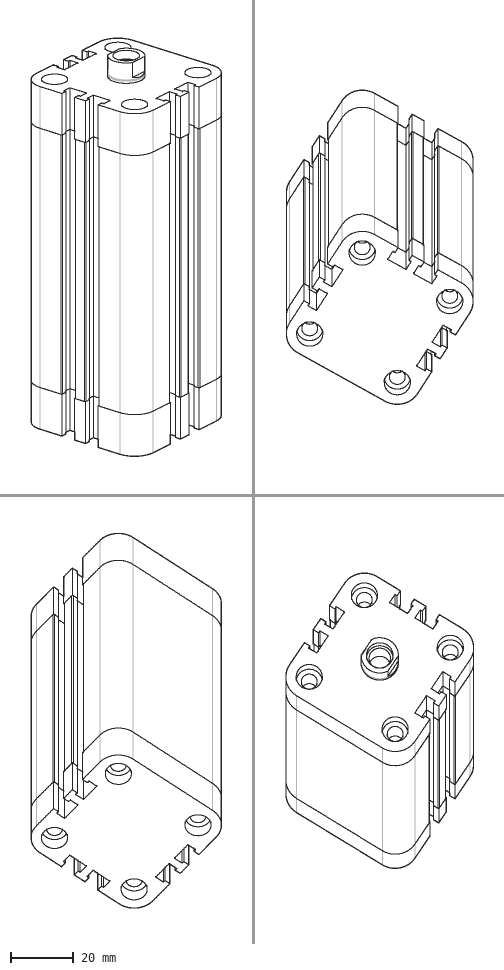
import cadquery as cq
import math

TOTAL_HEIGHT = 126.0
WIDTH = 47.5
CORNER_RADIUS = 7.5
CAP_HEIGHT = 14.5
ROD_PROJECTION = 7.0

HALF_WIDTH = WIDTH / 2
HOUSING_HEIGHT = TOTAL_HEIGHT - ROD_PROJECTION
BARREL_HEIGHT = HOUSING_HEIGHT - 2 * CAP_HEIGHT
TOP_CAP_BASE = CAP_HEIGHT + BARREL_HEIGHT

SLOT_DEPTH = 5.2
LIP_THICKNESS = 2.0
RIB_LIP_WIDTH = 4.4
RIB_WEB_WIDTH = 2.8
MOUTH_SPAN = 14.7
CHAMBER_SPAN = 16.4
MOUTH_CHAMFER = 0.4
SLOTTED_SIDES = (0, 90, -90)

HOLE_OFFSET = 16.3
HOLE_DIAMETER = 5.0
COUNTERBORE_DIAMETER = 8.3
COUNTERBORE_DEPTH = 4.8

ROD_DIAMETER = 12.0
ROD_TIP_DIAMETER = 11.8
ROD_TIP_LENGTH = 5.9
ROD_TAPER_LENGTH = 0.4
FLAT_LENGTH = 5.2
ACROSS_FLATS = 10.1
FLAT_RUNOUT_ANGLE = 30.0
SOCKET_DIAMETER = 6.8
SOCKET_DEPTH = 11.3
SOCKET_COUNTERBORE_DIAMETER = 8.5
SOCKET_COUNTERBORE_DEPTH = 3.0


def slot_outline(side, chamfer):
    """Return one T-slot of the -Y side, opening through that side; side is -1 or 1 along X."""
    chamber_inner = RIB_WEB_WIDTH / 2
    chamber_outer = CHAMBER_SPAN / 2
    mouth_inner = RIB_LIP_WIDTH / 2
    mouth_outer = MOUTH_SPAN / 2
    face_y = -HALF_WIDTH
    chamber_y = face_y + LIP_THICKNESS
    floor_y = face_y + SLOT_DEPTH
    points = [
        (mouth_inner, chamber_y),
        (chamber_inner, chamber_y),
        (chamber_inner, floor_y),
        (chamber_outer, floor_y),
        (chamber_outer, chamber_y),
        (mouth_outer, chamber_y),
    ]
    if chamfer:
        points += [
            (mouth_outer, face_y + chamfer),
            (mouth_outer + chamfer, face_y),
            (mouth_inner - chamfer, face_y),
            (mouth_inner, face_y + chamfer),
        ]
    else:
        points += [(mouth_outer, face_y), (mouth_inner, face_y)]
    return [(side * x, y) for x, y in points]


def slotted_block(base, height, mouth_chamfer=0.0):
    """Return a rounded square block with a pair of T-slots along three of its sides."""
    block = (
        cq.Workplane("XY", origin=(0, 0, base))
        .rect(WIDTH, WIDTH)
        .extrude(height)
        .edges("|Z")
        .fillet(CORNER_RADIUS)
    )
    for turn in SLOTTED_SIDES:
        for side in (-1, 1):
            slot = (
                cq.Workplane("XY", origin=(0, 0, base))
                .polyline(slot_outline(side, mouth_chamfer))
                .close()
                .extrude(height)
                .rotate((0, 0, 0), (0, 0, 1), turn)
            )
            block = block.cut(slot)
    return block


def end_cap(base, outer_face):
    """Return an end cap with a counterbored mounting hole from its outer face at each corner."""
    return (
        slotted_block(base, CAP_HEIGHT)
        .faces(outer_face)
        .workplane(origin=(0, 0, 0))
        .rect(2 * HOLE_OFFSET, 2 * HOLE_OFFSET, forConstruction=True)
        .vertices()
        .cboreHole(HOLE_DIAMETER, COUNTERBORE_DIAMETER, COUNTERBORE_DEPTH)
    )


def make_bottom_cap():
    """Return the bottom cap, standing on Z = 0."""
    return end_cap(0, "<Z")


def make_barrel():
    """Return the barrel between the caps, with its slot mouths chamfered."""
    return slotted_block(CAP_HEIGHT, BARREL_HEIGHT, MOUTH_CHAMFER)


def make_top_cap():
    """Return the top cap, bored through for the rod."""
    rod_bore = (
        cq.Workplane("XY", origin=(0, 0, TOP_CAP_BASE))
        .circle(ROD_DIAMETER / 2)
        .extrude(CAP_HEIGHT)
    )
    return end_cap(TOP_CAP_BASE, ">Z").cut(rod_bore)


def wrench_flat(side):
    """Return the cut for a flat facing side * X, which runs out to the surface down a slope."""
    flat_x = ACROSS_FLATS / 2
    outer_x = ROD_DIAMETER
    flat_end = TOTAL_HEIGHT - FLAT_LENGTH
    runout_drop = (outer_x - flat_x) * math.tan(math.radians(FLAT_RUNOUT_ANGLE))
    points = [
        (flat_x, TOTAL_HEIGHT),
        (flat_x, flat_end),
        (outer_x, flat_end - runout_drop),
        (outer_x, TOTAL_HEIGHT),
    ]
    return (
        cq.Workplane("XZ")
        .polyline([(side * x, z) for x, z in points])
        .close()
        .extrude(ROD_DIAMETER, both=True)
    )


def make_rod():
    """Return the rod, standing on the barrel, with two wrench flats and a counterbored socket in its tip."""
    shank_radius = ROD_DIAMETER / 2
    tip_radius = ROD_TIP_DIAMETER / 2
    tip_base = TOTAL_HEIGHT - ROD_TIP_LENGTH
    rod = (
        cq.Workplane("XZ")
        .moveTo(0, TOP_CAP_BASE)
        .lineTo(shank_radius, TOP_CAP_BASE)
        .lineTo(shank_radius, tip_base - ROD_TAPER_LENGTH)
        .lineTo(tip_radius, tip_base)
        .lineTo(tip_radius, TOTAL_HEIGHT)
        .lineTo(0, TOTAL_HEIGHT)
        .close()
        .revolve(360, (0, 0), (0, 1))
    )
    rod = rod.cut(wrench_flat(1)).cut(wrench_flat(-1))
    return (
        rod.faces(">Z")
        .workplane(origin=(0, 0, 0))
        .cboreHole(SOCKET_DIAMETER, SOCKET_COUNTERBORE_DIAMETER, SOCKET_COUNTERBORE_DEPTH, SOCKET_DEPTH)
    )


bottom_cap = make_bottom_cap()
barrel = make_barrel()
top_cap = make_top_cap()
rod = make_rod()

bodies = [bottom_cap, barrel, top_cap, rod]
result = cq.Compound.makeCompound([body.solids().val() for body in bodies])